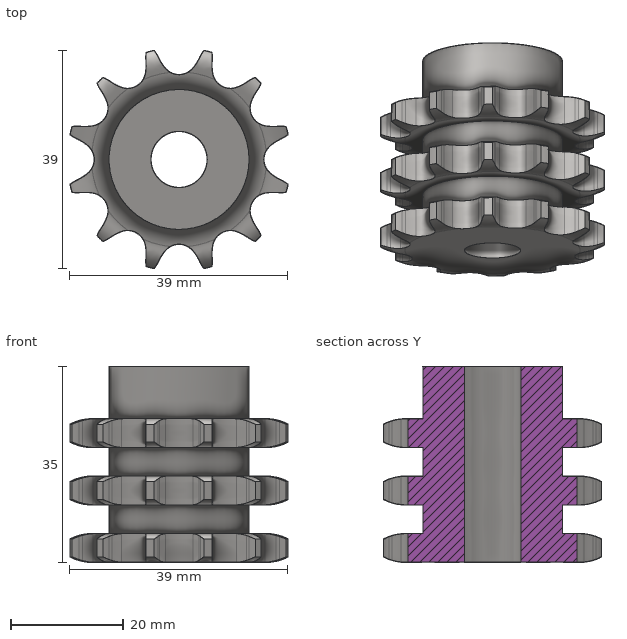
import cadquery as cq
import math

TOOTH_COUNT = 12
CHAIN_PITCH = 9.5
ROLLER_DIAMETER = 6.35
STRAND_COUNT = 3
STRAND_SPACING = 10.25
TOOTH_WIDTH = 5.2

HUB_DIAMETER = 25.0
BORE_DIAMETER = 10.0
TOTAL_HEIGHT = 35.0

TIP_RADIUS = 20.0
EDGE_START_RADIUS = 15.65
EDGE_DROP = 1.0

PITCH_RADIUS = CHAIN_PITCH / (2 * math.sin(math.pi / TOOTH_COUNT))
SEAT_RADIUS = 0.505 * ROLLER_DIAMETER
WORKING_RADIUS = 1.305 * ROLLER_DIAMETER
WORKING_OFFSET = 0.8 * ROLLER_DIAMETER
TOPPING_OFFSET = 1.4 * ROLLER_DIAMETER
SEAT_SLOPE = 90 - (35 + 60 / TOOTH_COUNT)
WORKING_ANGLE = 18 - 56 / TOOTH_COUNT
TOPPING_OFFSET_ANGLE = 17 - 64 / TOOTH_COUNT
FLAT_LENGTH = (
    TOPPING_OFFSET * math.sin(math.radians(TOPPING_OFFSET_ANGLE))
    - WORKING_OFFSET * math.sin(math.radians(WORKING_ANGLE))
)
TOPPING_RADIUS = (
    WORKING_OFFSET * math.cos(math.radians(WORKING_ANGLE))
    + TOPPING_OFFSET * math.cos(math.radians(TOPPING_OFFSET_ANGLE))
    - WORKING_RADIUS
)
TOPPING_ANGLE = 18
RIM_CLEARANCE = 0.78


def advance(point, length, slope):
    """Point reached by going a length along a slope given in degrees."""
    angle = math.radians(slope)
    return (point[0] + length * math.cos(angle), point[1] + length * math.sin(angle))


def arc_points(start, radius, slope, turn):
    """Middle and end of an arc leaving start at a slope and turning by an angle."""
    def along(part_turn):
        chord = 2 * radius * math.sin(math.radians(abs(part_turn) / 2))
        return advance(start, chord, slope + part_turn / 2)
    return along(turn / 2), along(turn)


def mirrored(point):
    return (-point[0], point[1])


def tooth_gap():
    """Cutter for the space between two teeth, centred on +Y."""
    root = (0, PITCH_RADIUS - SEAT_RADIUS)
    flat_slope = SEAT_SLOPE + WORKING_ANGLE

    _, seat_end = arc_points(root, SEAT_RADIUS, 0, SEAT_SLOPE)
    working_middle, working_end = arc_points(seat_end, WORKING_RADIUS, SEAT_SLOPE, WORKING_ANGLE)
    flat_end = advance(working_end, FLAT_LENGTH, flat_slope)
    topping_middle, topping_end = arc_points(flat_end, TOPPING_RADIUS, flat_slope, -TOPPING_ANGLE)
    outer_corner = (topping_end[0], TIP_RADIUS + RIM_CLEARANCE)

    return (
        cq.Workplane("XY")
        .moveTo(*mirrored(seat_end))
        .threePointArc(root, seat_end)
        .threePointArc(working_middle, working_end)
        .lineTo(*flat_end)
        .threePointArc(topping_middle, topping_end)
        .lineTo(*outer_corner)
        .lineTo(*mirrored(outer_corner))
        .lineTo(*mirrored(topping_end))
        .threePointArc(mirrored(topping_middle), mirrored(flat_end))
        .lineTo(*mirrored(working_end))
        .threePointArc(mirrored(working_middle), mirrored(seat_end))
        .close()
        .extrude(TOOTH_WIDTH)
    )


def strand_blank():
    """Disc whose sides curve in towards the rim, tangent to the flat sides."""
    edge_length = TIP_RADIUS - EDGE_START_RADIUS
    edge_turn = 2 * math.degrees(math.atan2(EDGE_DROP, edge_length))
    edge_radius = edge_length / math.sin(math.radians(edge_turn))
    middle, rim = arc_points((EDGE_START_RADIUS, 0), edge_radius, 0, edge_turn)

    return (
        cq.Workplane("XZ")
        .lineTo(EDGE_START_RADIUS, 0)
        .threePointArc(middle, rim)
        .lineTo(rim[0], TOOTH_WIDTH - rim[1])
        .threePointArc((middle[0], TOOTH_WIDTH - middle[1]), (EDGE_START_RADIUS, TOOTH_WIDTH))
        .lineTo(0, TOOTH_WIDTH)
        .close()
        .revolve(360, (0, 0, 0), (0, 1, 0))
    )


def toothed_strand():
    strand = strand_blank()
    gap = tooth_gap()
    for index in range(TOOTH_COUNT):
        strand = strand.cut(gap.rotate((0, 0, 0), (0, 0, 1), index * 360 / TOOTH_COUNT))
    return strand


sprocket = cq.Workplane("XY").circle(HUB_DIAMETER / 2).extrude(TOTAL_HEIGHT)
strand = toothed_strand()
for level in range(STRAND_COUNT):
    sprocket = sprocket.union(strand.translate((0, 0, level * STRAND_SPACING)))

bore = cq.Workplane("XY").circle(BORE_DIAMETER / 2).extrude(TOTAL_HEIGHT)
result = sprocket.cut(bore)